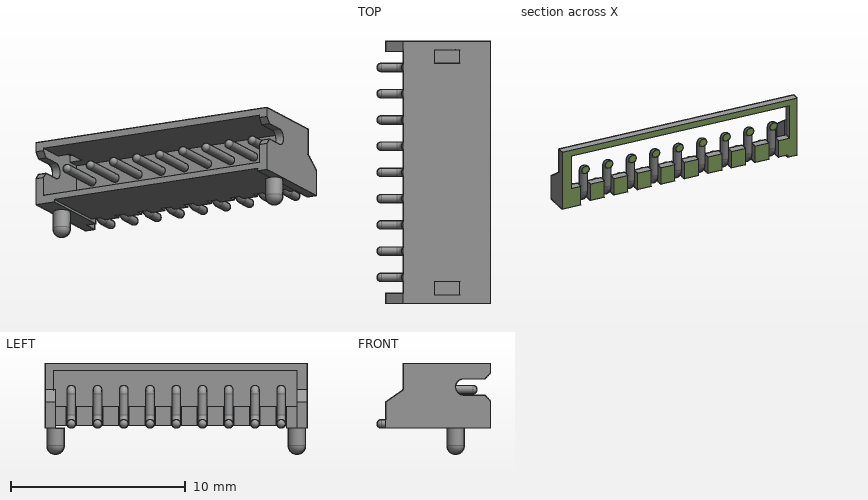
import cadquery as cq
import math

length = 15.0
depth = 5.0
height = 3.7
wall = 0.5
roof = 0.4
underside_relief = 0.15
floor_top = 0.5

foot_reach = 1.0
foot_width = 0.6
foot_knee_height = 1.5
foot_top_height = 2.2

slot_end = 3.0
slot_width = 0.92
slot_height = 2.35
mouth_chamfer_depth = 0.32
mouth_chamfer_rise = 0.35

recess_depth = 0.5
comb_height = 1.23
pin_gap = 0.6

window_start = 1.8
window_length = 1.42
window_width = 0.78

pin_count = 9
pin_pitch = 1.5
pin_diameter = 0.5
tail_tip = -1.5
contact_tip = 4.23
stem_x = 0.15
contact_height = 2.2
tail_bend = 0.51
contact_bend = 0.25

peg_diameter = 1.0
peg_length = 1.5
peg_x = 3.0

half_length = length / 2
foot_inner_y = half_length - foot_width
cavity_width = length - 2 * wall
roof_underside = height - roof
comb_end_y = (pin_count - 1) * pin_pitch / 2 + pin_gap / 2
pin_positions = [(i - (pin_count - 1) / 2) * pin_pitch for i in range(pin_count)]


def block(x_range, y_range, z_range):
    """Box spanning the given (low, high) ranges along X, Y and Z."""
    sizes = [high - low for low, high in (x_range, y_range, z_range)]
    corner = (x_range[0], y_range[0], z_range[0])
    return cq.Workplane("XY").box(*sizes, centered=False).translate(corner)


def end_slot():
    """Round-ended slot along Y through both end walls, flared at the mouth."""
    radius = slot_width / 2
    low = slot_height - radius
    high = slot_height + radius
    flare_x = depth - mouth_chamfer_depth
    return (
        cq.Workplane("XZ")
        .moveTo(slot_end + radius, low)
        .lineTo(flare_x, low)
        .lineTo(depth, low - mouth_chamfer_rise)
        .lineTo(depth, high + mouth_chamfer_rise)
        .lineTo(flare_x, high)
        .lineTo(slot_end + radius, high)
        .threePointArc((slot_end, slot_height), (slot_end + radius, low))
        .close()
        .extrude(half_length, both=True)
    )


def side_feet():
    """Sloped-top feet flush with the two ends of the housing."""
    foot = (
        cq.Workplane("XZ", origin=(0, half_length, 0))
        .moveTo(0, 0)
        .lineTo(-foot_reach, 0)
        .lineTo(-foot_reach, foot_knee_height)
        .lineTo(0, foot_top_height)
        .close()
        .extrude(foot_width)
    )
    return foot.union(foot.mirror("XZ"))


def housing():
    full_cavity_y = (-cavity_width / 2, cavity_width / 2)
    body = block((0, depth), (-half_length, half_length), (0, height))

    mating_cavity = block((recess_depth + wall, depth), full_cavity_y, (floor_top, roof_underside))

    recess_y = (-foot_inner_y, cavity_width / 2)
    rear_recess = block((0, recess_depth), recess_y, (comb_height, roof_underside))
    body = body.cut(mating_cavity).cut(rear_recess).cut(end_slot())

    relief_y = (-comb_end_y, foot_inner_y)
    body = body.cut(block((0, depth), relief_y, (0, underside_relief)))

    for y in pin_positions:
        gap_y = (y - pin_gap / 2, y + pin_gap / 2)
        body = body.cut(block((0, recess_depth), gap_y, (0, comb_height)))

    window_x = (window_start, window_start + window_length)
    window_y = (cavity_width / 2 - window_width, cavity_width / 2)
    window = block(window_x, window_y, (roof_underside, height))
    body = body.cut(window).cut(window.mirror("XZ"))

    return body.union(side_feet())


def pin():
    """Z-shaped round pin at Y = 0 with a rounded tip at each end."""
    radius = pin_diameter / 2
    tail_start = tail_tip + radius
    contact_end = contact_tip - radius
    arc_middle = 1 - math.sqrt(0.5)
    path = (
        cq.Workplane("XZ")
        .moveTo(tail_start, radius)
        .lineTo(stem_x - tail_bend, radius)
        .threePointArc(
            (stem_x - tail_bend * arc_middle, radius + tail_bend * arc_middle),
            (stem_x, radius + tail_bend),
        )
        .lineTo(stem_x, contact_height - contact_bend)
        .threePointArc(
            (stem_x + contact_bend * arc_middle, contact_height - contact_bend * arc_middle),
            (stem_x + contact_bend, contact_height),
        )
        .lineTo(contact_end, contact_height)
    )
    wire = cq.Workplane("YZ", origin=(tail_start, 0, radius)).circle(radius).sweep(path)
    tail_dome = cq.Workplane("XY").sphere(radius).translate((tail_start, 0, radius))
    contact_dome = cq.Workplane("XY").sphere(radius).translate((contact_end, 0, contact_height))
    return wire.union(tail_dome).union(contact_dome)


def peg(y):
    """Locating peg below the board plane, ending in a hemisphere."""
    radius = peg_diameter / 2
    shank_length = peg_length - radius
    shank = cq.Workplane("XY").circle(radius).extrude(-shank_length)
    dome = cq.Workplane("XY").sphere(radius).translate((0, 0, -shank_length))
    return shank.union(dome).translate((peg_x, y, 0))


result = housing()

contact = pin()
for pin_y in pin_positions:
    result = result.union(contact.translate((0, pin_y, 0)))

for side in (-1, 1):
    result = result.union(peg(side * foot_inner_y))